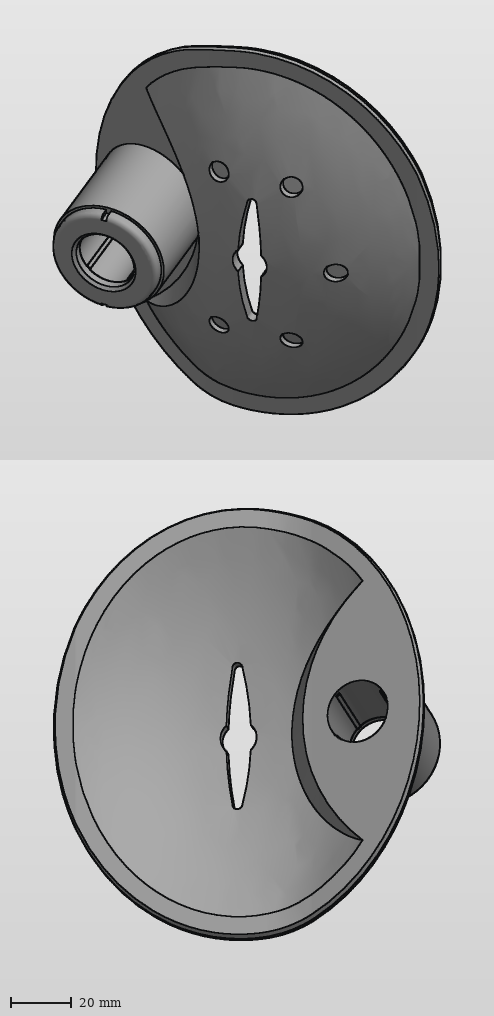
import cadquery as cq
import math

plate_half_width = 62.48
plate_half_height = 75.0
plate_depth = 3.8
bend_x = -15.9
bend_y = -14.1
bend_radius = 42.0
left_slope = 0.226
right_slope = 0.138
flat_start_x = 54.6
knee_radius = 3.0
rim_bevel_depth = 2.0
rim_bevel_width = 0.9

rim_width = 6.8
dish_half_width = plate_half_width - rim_width
dish_half_height = plate_half_height - rim_width
dish_peak_x = -0.9
dish_peak_y = -28.5
dish_wall = 3.9
dish_sections = 18
first_section_angle = 6.0
last_section_angle = 144.0

scoop_radius = 61.0
scoop_x = -83.0
scoop_y = -10.5
scoop_lean = 0.46
scoop_wall = 2.2

slot_x = 4.5
slot_half_length = 25.5
slot_half_width = 4.12
slot_tip_radius = 1.6
slot_eye_diameter = 12.0
hole_diameter = 7.2
hole_depth = 2.2
pair_hole_dx = 12.6
pair_hole_dz = 32.1
single_hole_dx = 28.0

boss_x = -39.6
boss_diameter = 40.0
boss_end_y = -47.5
collar_diameter = 38.1
collar_length = 4.0
collar_round = 1.8
neck_diameter = 21.0
bore_diameter = 21.3
bore_chamfer = 1.12
notch_width = 1.8
notch_floor_radius = 17.5
rib_width = 1.5
rib_height = 0.5

big = 150.0


def plate_front(x):
    """Y of the front face of the plate at x."""
    left_angle = math.atan(left_slope)
    right_angle = math.atan(right_slope)
    tangent_length = bend_radius * math.tan((left_angle + right_angle) / 2)
    arc_left = bend_x - tangent_length * math.cos(left_angle)
    arc_right = bend_x + tangent_length * math.cos(right_angle)
    if x < arc_left:
        return bend_y + left_slope * (bend_x - x)
    if x > arc_right:
        return bend_y + right_slope * (min(x, flat_start_x) - bend_x)
    arc_centre_x = arc_left + bend_radius * math.sin(left_angle)
    arc_centre_y = plate_front(arc_left - 1.5e-06) + bend_radius * math.cos(left_angle)
    return arc_centre_y - math.sqrt(bend_radius**2 - (x - arc_centre_x) ** 2)


def along_y(sketch_x, sketch_z, y_start):
    """Workplane facing -Y, with local x along +X, centred on the given point."""
    return cq.Workplane(cq.Plane((sketch_x, y_start, sketch_z), (1, 0, 0), (0, -1, 0)))


def rod(x, z, diameter, y_front, y_back):
    """Round bar along Y between two Y positions."""
    return along_y(x, z, y_back).circle(diameter / 2).extrude(y_back - y_front)


def bent_slab(depth):
    """V-bent slab, wider and taller than the plate, reaching back from the plate front."""
    reach = plate_half_width + 1.5
    front = [(x, plate_front(x)) for x in (-reach, bend_x, flat_start_x, reach)]
    front[1] = (bend_x, bend_y)
    back = [(x, y + depth) for x, y in reversed(front)]
    slab = cq.Workplane("XY").polyline(front + back).close().extrude(plate_half_height + 1.5, both=True)
    for x, radius in ((bend_x, bend_radius), (flat_start_x, knee_radius)):
        y = plate_front(x)
        fold = cq.selectors.BoxSelector((x - 1.5, y - 1.5, -1.5), (x + 1.5, y + depth + 1.5, 1.5))
        slab = slab.edges("|Z").edges(fold).fillet(radius)
    return slab


def on_back_rim(edge):
    """True for edges that run around the back of the plate outline."""
    mid = edge.positionAt(0.5)
    on_outline = (mid.x / plate_half_width) ** 2 + (mid.z / plate_half_height) ** 2 > 0.98
    return on_outline and mid.y > plate_front(mid.x) + 0.75 * plate_depth


def make_plate():
    """Bent plate trimmed to its elliptical outline, with the back rim bevelled."""
    outline = along_y(0, 0, big).ellipse(plate_half_width, plate_half_height).extrude(2 * big)
    plate = bent_slab(plate_depth).intersect(outline)
    return plate.edges().filter(on_back_rim).chamfer(rim_bevel_depth, rim_bevel_width)


def scoop(radius):
    """Leaning cylinder that hollows the left side of the dish."""
    start = scoop_y + plate_half_width
    travel = 2 * plate_half_width
    centre = cq.Vector(scoop_x - scoop_lean * plate_half_width, start, 0)
    rim = cq.Wire.makeCircle(radius, centre, cq.Vector(0, -1, 0))
    return cq.Workplane(cq.Solid.extrudeLinear(rim, [], cq.Vector(scoop_lean * travel, -travel, 0)))


def dish_section(angle):
    """Cross-section at one X: an arc from rim to rim over the ridge, closed inside the plate."""
    x = dish_half_width * math.cos(angle)
    half_height = dish_half_height * math.sin(angle)
    reach = dish_half_width - dish_peak_x
    rise = plate_front(dish_half_width) - dish_peak_y
    ridge_radius = (reach**2 + rise**2) / (2 * rise)
    ridge_y = dish_peak_y + ridge_radius - math.sqrt(ridge_radius**2 - (x - dish_peak_x) ** 2)
    rim_y = plate_front(x)
    base_y = rim_y + plate_depth / 2
    rim_top = cq.Vector(x, rim_y, half_height)
    rim_bottom = cq.Vector(x, rim_y, -half_height)
    base_top = cq.Vector(x, base_y, half_height)
    base_bottom = cq.Vector(x, base_y, -half_height)
    return cq.Wire.assembleEdges([
        cq.Edge.makeThreePointArc(rim_bottom, cq.Vector(x, ridge_y, 0), rim_top),
        cq.Edge.makeLine(rim_top, base_top),
        cq.Edge.makeLine(base_top, base_bottom),
        cq.Edge.makeLine(base_bottom, rim_bottom),
    ])


def make_dome():
    """Solid bulge before the scoop is taken out of its left side."""
    step = (last_section_angle - first_section_angle) / (dish_sections - 1)
    angles = [math.radians(first_section_angle + i * step) for i in range(dish_sections)]
    return cq.Workplane(cq.Solid.makeLoft([dish_section(angle) for angle in angles]))


def make_boss():
    """Barrel standing on the plate, ending in a rounded collar with two notches."""
    shoulder_y = boss_end_y + collar_length
    collar = rod(boss_x, 0, collar_diameter, boss_end_y, shoulder_y).faces("<Y").edges().fillet(collar_round)
    for side in (-1, 1):
        notch = cq.Workplane().box(notch_width, collar_length, collar_diameter)
        notch_z = side * (notch_floor_radius + collar_diameter / 2)
        collar = collar.cut(notch.translate((boss_x, boss_end_y + collar_length / 2, notch_z)))
    barrel = rod(boss_x, 0, boss_diameter, shoulder_y, 0).cut(bent_slab(big).translate((0, plate_depth / 2, 0)))
    return barrel.union(collar)


def make_bore():
    """Through bore with a chamfered mouth and four thin ribs left standing past the collar."""
    neck_end_y = boss_end_y + collar_length
    neck = rod(boss_x, 0, neck_diameter, boss_end_y, neck_end_y)
    mouth = cq.Solid.makeCone(
        neck_diameter / 2 + bore_chamfer,
        neck_diameter / 2,
        bore_chamfer,
        cq.Vector(boss_x, boss_end_y, 0),
        cq.Vector(0, 1, 0),
    )
    bore = rod(boss_x, 0, bore_diameter, neck_end_y, big)
    rib_length = plate_front(boss_x) - neck_end_y
    rib_y = neck_end_y + rib_length / 2
    for angle in (45, 135, 225, 315):
        rib = cq.Workplane().box(2 * rib_height, rib_length, rib_width).translate((bore_diameter / 2, rib_y, 0))
        rib = rib.rotate((0, 0, 0), (0, 1, 0), angle).translate((boss_x, 0, 0))
        bore = bore.cut(rib)
    return bore.union(neck).union(cq.Workplane(mouth))


def make_slot():
    """Lens-shaped slot with rounded tips and a round eye at its middle."""
    side_end = slot_half_length - slot_tip_radius
    tip = slot_tip_radius
    lens = (
        along_y(slot_x, 0, big)
        .moveTo(tip, -side_end)
        .threePointArc((slot_half_width, 0), (tip, side_end))
        .threePointArc((0, slot_half_length), (-tip, side_end))
        .threePointArc((-slot_half_width, 0), (-tip, -side_end))
        .threePointArc((0, -slot_half_length), (tip, -side_end))
        .close()
        .extrude(2 * big)
    )
    return lens.union(rod(slot_x, 0, slot_eye_diameter, -big, big))


def make_blind_holes(dome):
    """Shallow round recesses whose floors follow the dish surface."""
    places = [(slot_x + sx * pair_hole_dx, sz * pair_hole_dz) for sx in (-1, 1) for sz in (-1, 1)]
    places.append((slot_x + single_hole_dx, 0))
    floor = dome.translate((0, hole_depth, 0))
    holes = cq.Workplane()
    for x, z in places:
        holes = holes.add(rod(x, z, hole_diameter, boss_end_y, plate_front(x)).cut(floor))
    return holes.combine()


dome = make_dome()
dish = dome.cut(scoop(scoop_radius))
cavity = dome.translate((0, dish_wall, 0)).cut(scoop(scoop_radius + scoop_wall))

result = make_plate().union(dish).union(make_boss())
result = result.cut(cavity).cut(make_slot()).cut(make_blind_holes(dome)).cut(make_bore())